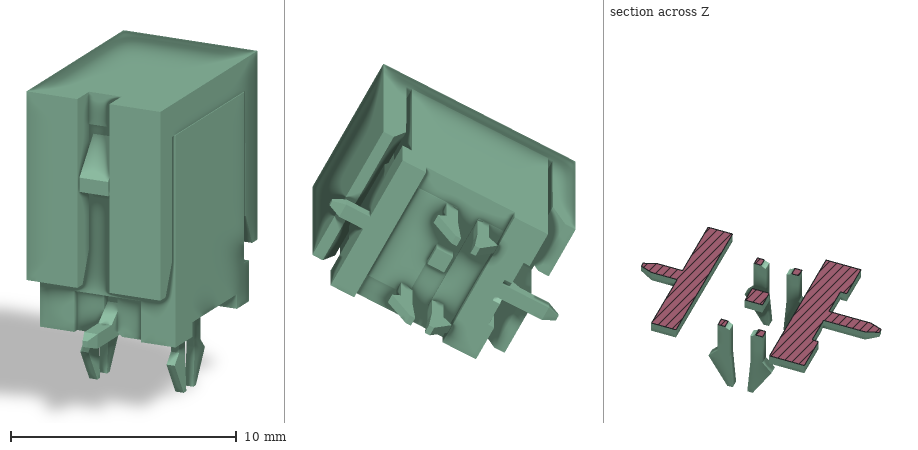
import cadquery as cq
import math


OVERALL_HEIGHT = 14.5

CAP_WIDTH = 6.61
CAP_HALF_DEPTH = 4.85
CAP_TOP = 11.4
CROWN_THICKNESS = 1.51
ARM_BOTTOM = 2.6
ARM_TAPER_START = 4.03
ARM_INNER_TOP = 3.67
ARM_INNER_LOW = 3.7
ARM_INNER_TIP = 4.32
CAP_SLOT_WIDTH = 1.6

BODY_WIDTH = 6.7
BODY_HALF_DEPTH = 3.42
BODY_TOP = CAP_TOP - CROWN_THICKNESS
FOOT_BACK = 3.9
FOOT_TOP = 1.91
RIB_WIDTH = 3.3
RIB_TOP = 8.87

GAP_HEIGHT = 0.68
GAP_FRONT = -1.74
GAP_BACK = 2.71
PAD_BOTTOM = 0.6
PAD_SLOT_HALF = 0.52
GUSSET_DEPTH = 0.17
GUSSET_HEIGHT = 0.09
POST_FRONT = -0.23
POST_BACK = 0.61

RECESS_WIDTH = 3.3
RECESS_DEPTH = 0.3
NOTCH_TOP = 1.8
LEAD_IN_WIDTH = 1.1
LEAD_IN_HEIGHT = 0.19

LATCH_WIDTH = 1.42
LATCH_FRONT = -4.81
LATCH_TOP = 9.38
LATCH_RAMP_END = 7.75
LATCH_UNDERSIDE = 7.08
LATCH_FILLET = 0.64

TAIL_WIDTH = 0.65
TAIL_HEIGHT = 0.68
TAIL_END = 5.7
TAIL_TAPER_START = 5.1
TAIL_TIP_WIDTH = 0.23
TAIL_TIP_HEIGHT = 0.29
TAIL_BEND_TOP = 1.42
TAIL_BEND_FRONT = -3.68
TAIL_BEND_BACK = -2.75

LEG_SPACING = 4.26
LEG_THICKNESS = 0.4
LEG_PAIR_Y = 0.06
LEG_BOTTOM = CAP_TOP - OVERALL_HEIGHT
LEG_INNER = 0.5
LEG_OUTER = 1.07
BARB_REACH = 1.51
BARB_TOP = -1.1
BARB_POINT = -1.58
LEG_TAPER_START = -1.29
LEG_TIP_INNER = 0.35
LEG_TIP_OUTER = 0.61
LEG_RELIEF_BOTTOM = 0.33
LEG_RELIEF_MIDDLE = (0.71, 0.45)
LEG_ROOT_INNER = 0.8


def block(width, y_front, y_back, z_bottom, z_top):
    """Box centred on X = 0."""
    box = cq.Workplane("XY").box(width, y_back - y_front, z_top - z_bottom, centered=(True, False, False))
    return box.translate((0, y_front, z_bottom))


def side_profile(points, width):
    """(Y, Z) outline extruded symmetrically about X = 0."""
    return cq.Workplane("YZ").polyline(points).close().extrude(width / 2, both=True)


def make_cap():
    back_half = [
        (ARM_INNER_TOP, BODY_TOP),
        (ARM_INNER_LOW, ARM_TAPER_START),
        (ARM_INNER_TIP, ARM_BOTTOM),
        (CAP_HALF_DEPTH, ARM_BOTTOM),
        (CAP_HALF_DEPTH, CAP_TOP),
    ]
    front_half = [(-y, z) for y, z in reversed(back_half)]
    cap = side_profile(back_half + front_half, CAP_WIDTH)
    return cap.cut(block(CAP_SLOT_WIDTH, -CAP_HALF_DEPTH, -ARM_INNER_TOP, ARM_BOTTOM, CAP_TOP))


def make_underside():
    """Low pad flush with the legs, its cross slot, and the centre post standing on the board."""
    pad_outline = [
        (GAP_FRONT, GAP_HEIGHT),
        (GAP_FRONT, PAD_BOTTOM),
        (GAP_BACK - GUSSET_DEPTH, PAD_BOTTOM),
        (GAP_BACK, PAD_BOTTOM - GUSSET_HEIGHT),
        (GAP_BACK, GAP_HEIGHT),
    ]
    pad = side_profile(pad_outline, LEG_SPACING + LEG_THICKNESS)
    slot = block(BODY_WIDTH, LEG_PAIR_Y - PAD_SLOT_HALF, LEG_PAIR_Y + PAD_SLOT_HALF, PAD_BOTTOM, GAP_HEIGHT)
    post = block(POST_BACK - POST_FRONT, POST_FRONT, POST_BACK, 0, GAP_HEIGHT)
    return pad.cut(slot).union(post)


def make_recess():
    """Front recess, the notch behind it for the tail bend, and a flared lead-in at the bottom."""
    recess_floor = RECESS_DEPTH - BODY_HALF_DEPTH
    recess = block(RECESS_WIDTH, -BODY_HALF_DEPTH, recess_floor, 0, FOOT_TOP)
    notch = block(TAIL_WIDTH, recess_floor, TAIL_BEND_BACK, 0, NOTCH_TOP)
    lead_in_outline = [
        (-LEAD_IN_WIDTH / 2, 0),
        (LEAD_IN_WIDTH / 2, 0),
        (TAIL_WIDTH / 2, LEAD_IN_HEIGHT),
        (-TAIL_WIDTH / 2, LEAD_IN_HEIGHT),
    ]
    lead_in = (
        cq.Workplane("XZ", origin=(0, recess_floor, 0))
        .polyline(lead_in_outline)
        .close()
        .extrude(recess_floor - TAIL_BEND_BACK)
    )
    return recess.union(notch).union(lead_in)


def make_housing():
    body = block(BODY_WIDTH, -BODY_HALF_DEPTH, BODY_HALF_DEPTH, 0, BODY_TOP)
    foot = block(BODY_WIDTH, BODY_HALF_DEPTH, FOOT_BACK, 0, FOOT_TOP)
    rib = block(RIB_WIDTH, BODY_HALF_DEPTH, FOOT_BACK, FOOT_TOP, RIB_TOP)
    gap = block(BODY_WIDTH, GAP_FRONT, GAP_BACK, 0, GAP_HEIGHT)
    housing = body.union(foot).union(rib).cut(gap).cut(make_recess())
    return housing.union(make_underside())


def make_latch():
    fillet_front = -BODY_HALF_DEPTH - LATCH_FILLET
    fillet_bottom = LATCH_UNDERSIDE - LATCH_FILLET
    fillet_diagonal = LATCH_FILLET * math.sin(math.radians(45))
    return (
        cq.Workplane("YZ")
        .moveTo(-BODY_HALF_DEPTH, LATCH_TOP)
        .lineTo(LATCH_FRONT, LATCH_RAMP_END)
        .lineTo(LATCH_FRONT, LATCH_UNDERSIDE)
        .lineTo(fillet_front, LATCH_UNDERSIDE)
        .threePointArc(
            (fillet_front + fillet_diagonal, fillet_bottom + fillet_diagonal),
            (-BODY_HALF_DEPTH, fillet_bottom),
        )
        .close()
        .extrude(LATCH_WIDTH / 2, both=True)
    )


def make_tail(root):
    """Straight tail pointing to +Y from the given root, with a pyramid tip."""
    shank = block(TAIL_WIDTH, root, TAIL_TAPER_START, 0, TAIL_HEIGHT)
    tip = (
        shank.faces(">Y").workplane(centerOption="CenterOfBoundBox")
        .rect(TAIL_WIDTH, TAIL_HEIGHT)
        .workplane(offset=TAIL_END - TAIL_TAPER_START)
        .rect(TAIL_TIP_WIDTH, TAIL_TIP_HEIGHT)
        .loft(combine=False)
    )
    return shank.union(tip)


def make_tails():
    back_tail = make_tail(BODY_HALF_DEPTH)
    front_tail = make_tail(-TAIL_BEND_BACK).mirror("XZ")
    bend_outline = [
        (TAIL_BEND_BACK, 0),
        (TAIL_BEND_BACK, TAIL_BEND_TOP),
        (TAIL_BEND_FRONT, TAIL_HEIGHT),
        (TAIL_BEND_FRONT, 0),
    ]
    return front_tail.union(side_profile(bend_outline, TAIL_WIDTH)).union(back_tail)


def make_legs():
    """Two barbed pairs, each leg rounded out on its inner side at the root."""
    leg = (
        cq.Workplane("YZ")
        .moveTo(LEG_ROOT_INNER, GAP_HEIGHT)
        .threePointArc(LEG_RELIEF_MIDDLE, (LEG_INNER, LEG_RELIEF_BOTTOM))
        .lineTo(LEG_INNER, LEG_TAPER_START)
        .lineTo(LEG_TIP_INNER, LEG_BOTTOM)
        .lineTo(LEG_TIP_OUTER, LEG_BOTTOM)
        .lineTo(BARB_REACH, BARB_POINT)
        .lineTo(LEG_OUTER, BARB_TOP)
        .lineTo(LEG_OUTER, GAP_HEIGHT)
        .close()
        .extrude(LEG_THICKNESS / 2, both=True)
    )
    pair = leg.union(leg.mirror("XZ")).translate((0, LEG_PAIR_Y, 0))
    left_pair = pair.translate((-LEG_SPACING / 2, 0, 0))
    right_pair = pair.translate((LEG_SPACING / 2, 0, 0))
    return left_pair.union(right_pair)


result = make_housing()
for feature in (make_latch(), make_tails(), make_legs(), make_cap()):
    result = result.union(feature)